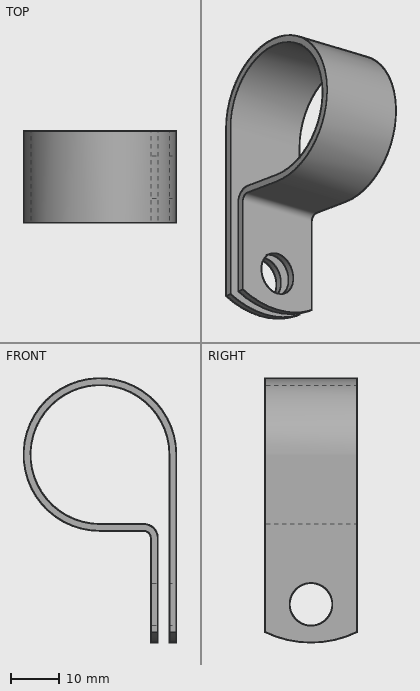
import cadquery as cq
import math

height = 54.65
strap_width = 19.0
loop_radius = 15.8
thickness = 1.5
leg_gap = 2.35
bend_inner_radius = 1.5
hole_diameter = 8.75
hole_height = 7.9
foot_rise = 2.2

loop_z = height - loop_radius
loop_inner_radius = loop_radius - thickness
bend_outer_radius = bend_inner_radius + thickness
short_leg_right = loop_inner_radius - leg_gap
short_leg_left = short_leg_right - thickness
shelf_bottom = loop_z - loop_radius
shelf_top = shelf_bottom + thickness
bend_x = short_leg_right - bend_outer_radius
bend_z = shelf_top - bend_outer_radius


def bend_midpoint(radius):
    """Point halfway round the bend at the given radius."""
    offset = radius * math.sqrt(0.5)
    return (bend_x + offset, bend_z + offset)


def loop_midpoint(radius):
    """Point halfway round the three-quarter loop at the given radius."""
    offset = radius * math.sqrt(0.5)
    return (-offset, loop_z + offset)


def make_strap():
    """Loop, both legs and the bend, as one profile extruded across the strap."""
    return (
        cq.Workplane("XZ")
        .moveTo(loop_radius, 0)
        .lineTo(loop_radius, loop_z)
        .threePointArc(loop_midpoint(loop_radius), (0, shelf_bottom))
        .lineTo(bend_x, shelf_bottom)
        .threePointArc(bend_midpoint(bend_inner_radius), (short_leg_left, bend_z))
        .lineTo(short_leg_left, 0)
        .lineTo(short_leg_right, 0)
        .lineTo(short_leg_right, bend_z)
        .threePointArc(bend_midpoint(bend_outer_radius), (bend_x, shelf_top))
        .lineTo(0, shelf_top)
        .threePointArc(loop_midpoint(loop_inner_radius), (loop_inner_radius, loop_z))
        .lineTo(loop_inner_radius, 0)
        .close()
        .extrude(strap_width / 2, both=True)
    )


def make_side_outline():
    """Block with the strap's side outline: straight edges and a rounded foot."""
    half_width = strap_width / 2
    return (
        cq.Workplane("YZ")
        .moveTo(-half_width, height)
        .lineTo(-half_width, foot_rise)
        .threePointArc((0, 0), (half_width, foot_rise))
        .lineTo(half_width, height)
        .close()
        .extrude(loop_radius, both=True)
    )


def make_bolt_hole():
    """Cylinder that passes through both legs."""
    return (
        cq.Workplane("YZ")
        .center(0, hole_height)
        .circle(hole_diameter / 2)
        .extrude(loop_radius, both=True)
    )


result = make_strap().intersect(make_side_outline()).cut(make_bolt_hole())